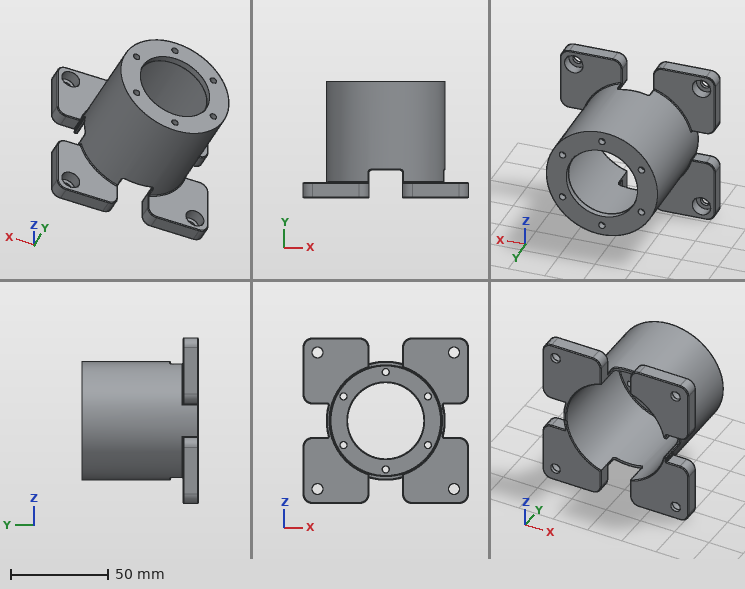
import cadquery as cq
import math

plate_side = 85.0
depth = 59.8
half_side = plate_side / 2

sleeve_radius = 30.5
bore_radius = 28.65
floor_thickness = 4.0
opening_radius = 19.55

pad_gap = 17.2
pad_thickness = 8.0
pad_corner_radius = 5.0
pad_hole_diameter = 5.5
pad_counterbore_diameter = 10.0
pad_counterbore_depth = 6.0
pad_hole_offset = 35.0

side_notch_width = 11.7
notch_depth = 14.3
notch_corner_radius = 1.2

screw_hole_diameter = 3.5
screw_circle_radius = 25.0
screw_count = 6

pad_back_chamfer = 0.47
edge_chamfer = 0.5
opening_chamfer = 0.4

tolerance = 0.01


def cylinder(radius):
    """Full-depth cylinder on the Y axis."""
    return cq.Workplane("XZ").circle(radius).extrude(-depth)


def axis_distance(point):
    return math.hypot(point.x, point.z)


def lies_on_cylinder(edge, radius):
    """True when the whole edge runs along a cylinder on the Y axis."""
    samples = [edge.positionAt(fraction) for fraction in (0, 0.3, 0.6, 1)]
    return all(abs(axis_distance(point) - radius) < tolerance for point in samples)


def make_bore():
    """Cutter for the bore and the opening in its floor, both chamfered on the bore side."""
    floor = depth - floor_thickness
    profile = [
        (0, 0),
        (bore_radius, 0),
        (bore_radius, floor - edge_chamfer),
        (bore_radius - edge_chamfer, floor),
        (opening_radius + opening_chamfer, floor),
        (opening_radius, floor + opening_chamfer),
        (opening_radius, depth),
        (0, depth),
    ]
    return cq.Workplane("XY").polyline(profile).close().revolve(360, (0, 0, 0), (0, 1, 0))


def make_notch(width, angle):
    """Notch cutter on the +X side, turned about the Y axis."""
    cutter = cq.Workplane("XY").box(half_side, 2 * notch_depth, width)
    cutter = cutter.edges("|X and >Y").fillet(notch_corner_radius)
    return cutter.translate((half_side / 2, 0, 0)).rotate((0, 0, 0), (0, 1, 0), angle)


def chamfer_notch_edges(sleeve, radius, lowest_x):
    """Chamfer the notch edges that lie on one wall surface, beyond X = lowest_x."""
    edges = [
        edge
        for edge in sleeve.edges().vals()
        if lies_on_cylinder(edge, radius)
        and tolerance < edge.Center().y < notch_depth + tolerance
        and edge.Center().x > lowest_x
    ]
    return sleeve.newObject(edges).chamfer(edge_chamfer)


def make_sleeve():
    """Cup with three notches in its wall; the -X side stays whole."""
    sleeve = cylinder(sleeve_radius).cut(make_bore())
    for angle in (-90, 90):
        sleeve = sleeve.cut(make_notch(pad_gap, angle))
    sleeve = sleeve.cut(make_notch(side_notch_width, 0))
    sleeve = chamfer_notch_edges(sleeve, sleeve_radius, -half_side)
    return chamfer_notch_edges(sleeve, bore_radius, bore_radius / 2)


def make_pad(side_x, side_z):
    """Square pad with three rounded corners; its plain inner corner reaches into the bore."""
    pad_side = (plate_side - pad_gap) / 2
    centre = half_side - pad_side / 2
    pad = cq.Workplane("XY").box(pad_side, pad_thickness, pad_side)
    pad = pad.translate((centre, pad_thickness / 2, centre))
    pad = pad.edges("|Y").edges(">X or >Z").fillet(pad_corner_radius)
    pad = pad.cut(cylinder(bore_radius))
    if side_x < 0:
        pad = pad.mirror("YZ")
    if side_z < 0:
        pad = pad.mirror("XY")
    return pad


def chamfer_pad_roots(body):
    """Chamfer the inside corners where the backs and sides of the pads meet the sleeve."""
    edges = [
        edge
        for edge in body.edges().vals()
        if lies_on_cylinder(edge, sleeve_radius)
        and tolerance < edge.Center().y < pad_thickness + tolerance
        and abs(edge.Center().z) > pad_gap / 2 - tolerance
    ]
    return body.newObject(edges).chamfer(edge_chamfer)


def chamfer_pad_backs(body):
    """Chamfer the outer edges on the backs of the pads, leaving their roots alone."""
    edges = [
        edge
        for edge in body.edges().vals()
        if abs(edge.startPoint().y - pad_thickness) < tolerance
        and abs(edge.endPoint().y - pad_thickness) < tolerance
        and axis_distance(edge.Center()) > sleeve_radius + 2 * edge_chamfer
    ]
    return body.newObject(edges).chamfer(pad_back_chamfer)


def make_holes(diameter, places, start=0):
    """Cutter for holes along Y at the given (x, z) places, running from Y = start to the back."""
    holes = cq.Workplane("XZ", origin=(0, start, 0)).pushPoints(places).circle(diameter / 2)
    return holes.extrude(start - depth)


body = make_sleeve()
for side_x in (-1, 1):
    for side_z in (-1, 1):
        body = body.union(make_pad(side_x, side_z))

body = chamfer_pad_roots(body)
body = body.faces("<Y").edges().chamfer(edge_chamfer)
body = chamfer_pad_backs(body)

pad_hole_places = [
    (side_x * pad_hole_offset, side_z * pad_hole_offset)
    for side_x in (-1, 1)
    for side_z in (-1, 1)
]
body = body.cut(make_holes(pad_hole_diameter, pad_hole_places))
counterbore_floor = pad_thickness - pad_counterbore_depth
body = body.cut(make_holes(pad_counterbore_diameter, pad_hole_places, counterbore_floor))

screw_angles = [math.radians(90 + 360 / screw_count * index) for index in range(screw_count)]
screw_places = [
    (screw_circle_radius * math.cos(angle), screw_circle_radius * math.sin(angle))
    for angle in screw_angles
]
result = body.cut(make_holes(screw_hole_diameter, screw_places))